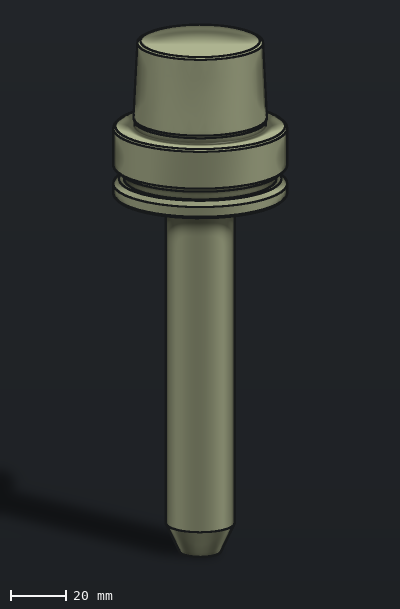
import cadquery as cq
import math

overall_length = 191.9

taper_height = 32.0
taper_base_radius = 24.2
taper_base_z = 3.2
taper_slope = 1 / 20
rim_chamfer_width = 1.2
rim_chamfer_angle = 30.0

neck_radius = 23.8
neck_top_z = 2.1
relief_radius = 26.4
relief_depth = 0.3
neck_fillet = 0.7

flange_radius = 31.5
flange_height = 26.0
flange_chamfer = 0.8
groove_radius = 27.6
groove_center_z = -18.1
groove_floor_width = 3.4
groove_wall_radius = 29.4
groove_flank_angle = 40.0

mandrel_radius = 12.5
mandrel_fillet = 1.2
tip_radius = 7.5
tip_half_angle = 25.0

FILLET_SAG = 1 - math.sqrt(0.5)


def slope(angle):
    """Rise per unit of run for an angle in degrees."""
    return math.tan(math.radians(angle))


def turned_body():
    """Revolve the half profile of the taper, neck, flange and mandrel."""
    rim_z = taper_height - rim_chamfer_width * slope(rim_chamfer_angle)
    rim_radius = taper_base_radius - (rim_z - taper_base_z) * taper_slope
    flange_bottom_z = -flange_height
    tip_z = taper_height - overall_length
    tip_shoulder_z = tip_z + (mandrel_radius - tip_radius) / slope(tip_half_angle)
    fillet_outer_radius = mandrel_radius + mandrel_fillet
    fillet_bottom_z = flange_bottom_z - mandrel_fillet

    profile = (
        cq.Workplane("XZ")
        .moveTo(0, taper_height)
        .lineTo(rim_radius - rim_chamfer_width, taper_height)
        .lineTo(rim_radius, rim_z)
        .lineTo(taper_base_radius, taper_base_z)
        .lineTo(neck_radius, neck_top_z)
        .lineTo(neck_radius, neck_fillet - relief_depth)
        .threePointArc(
            (neck_radius + neck_fillet * FILLET_SAG, neck_fillet * FILLET_SAG - relief_depth),
            (neck_radius + neck_fillet, -relief_depth),
        )
        .lineTo(relief_radius, 0)
        .lineTo(flange_radius - flange_chamfer, 0)
        .lineTo(flange_radius, -flange_chamfer)
        .lineTo(flange_radius, flange_bottom_z + flange_chamfer)
        .lineTo(flange_radius - flange_chamfer, flange_bottom_z)
        .lineTo(fillet_outer_radius, flange_bottom_z)
        .threePointArc(
            (
                mandrel_radius + mandrel_fillet * FILLET_SAG,
                flange_bottom_z - mandrel_fillet * FILLET_SAG,
            ),
            (mandrel_radius, fillet_bottom_z),
        )
        .lineTo(mandrel_radius, tip_shoulder_z)
        .lineTo(tip_radius, tip_z)
        .lineTo(0, tip_z)
        .close()
    )
    return profile.revolve(360, (0, 0, 0), (0, 1, 0))


def gripper_groove():
    """Ring with square walls and flared flanks that cuts the gripper groove into the flange rim."""
    half_floor = groove_floor_width / 2
    half_mouth = half_floor + (flange_radius - groove_wall_radius) * slope(groove_flank_angle)
    return (
        cq.Workplane("XZ")
        .moveTo(groove_radius, groove_center_z + half_floor)
        .lineTo(groove_wall_radius, groove_center_z + half_floor)
        .lineTo(flange_radius, groove_center_z + half_mouth)
        .lineTo(flange_radius, groove_center_z - half_mouth)
        .lineTo(groove_wall_radius, groove_center_z - half_floor)
        .lineTo(groove_radius, groove_center_z - half_floor)
        .close()
        .revolve(360, (0, 0, 0), (0, 1, 0))
    )


result = turned_body().cut(gripper_groove())